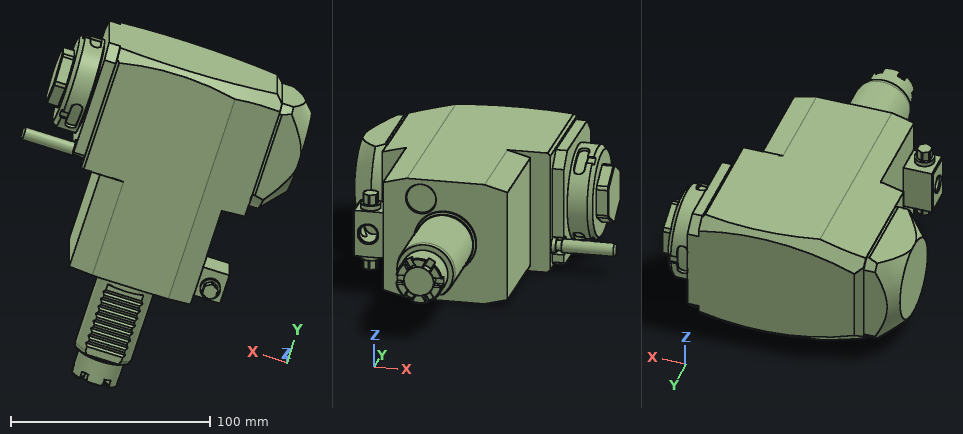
import cadquery as cq
import math

clearance = 1.7

half_height = 32.0
taper = math.tan(math.radians(15))
taper_start = 20.0
housing_left = -44.2
housing_right = 42.3
head_front = 51.0
back = 115.0
corner_chamfer = 3.7
end_chamfer = 1.4
arch_radius = 139.2
arch_center_x = 10.5
arch_rise = 29.2
spindle_y = 84.9

cap_left = -61.6
cap_cone_end = -50.3
cap_face_radius = 21.0
cap_radius = 33.4
cap_groove_width = 1.4
cap_groove_depth = 0.3

plate_right = 48.2
plate_half_height = 29.5
plate_front = 55.5
plate_chamfer = 7.5
plate_pin_chamfer = 1.7
pin_y = 56.4
pin_z = -19.0
pin_radius = 3.5
pin_base_radius = 4.2
pin_neck_radius = 2.6
pin_base_end = 44.4
pin_neck_end = 47.3
pin_end = 75.3
pin_chamfer = 1.2
pin_notch_radius = 4.7
nut_radius = 24.5
nut_relief = 0.5
nut_right = 61.2
nut_chamfer = 2.3
slot_count = 3
slot_center_x = 53.0
slot_width = 5.5
slot_depth = 1.5
slot_first_angle = 28.0
slot_span = 42.0
notch_width = 4.4
notch_depth = 1.0
hex_right = 67.5
hex_flats = 27.5
hex_edge_chamfer = 1.2
hex_end_chamfer = 0.5

flange_radius = 16.0
flange_end = 1.0
undercut_end = 2.3
undercut_radius = 14.6
shank_radius = 15.0
shank_end = 44.9
shank_chamfer_length = 2.1
shank_chamfer_depth = 0.5
flat_start = 7.0
flat_height = 11.7
tooth_count = 8
tooth_pitch = 4.0
tooth_first = 11.5
tooth_width = 2.8
tooth_depth = 0.9
neck_radius = 9.2
neck_end = 46.1
collet_radius = 12.0
collet_end = 58.6
core_end = 59.0
collet_core_radius = 7.7
key_count = 6
key_width = 3.8
key_depth = 4.0
key_flare = 0.5
key_flare_length = 1.4
collet_chamfer = 0.5

plug_x = -12.5
plug_z = 21.5
plug_radius = 7.8
plug_recess = 0.9
plug_draft = 20.0

block_left = -47.7
block_front = 0.9
block_back = 16.4
block_half_height = 12.2
block_chamfer = 0.5
port_x = -40.0
side_port_y = 8.5
side_port_radius = 4.0
side_port_depth = 13.2
front_port_radius = 4.7
front_port_depth = 12.7
port_mouth_chamfer = 0.7
link_radius = 1.7
fitting_y = 7.1
collar_radius = 5.0
collar_height = 2.5
screw_flats = 7.1
screw_height = 5.4
screw_edge_chamfer = 0.5


def taper_height(x):
    """Half height of the tapered sections at a distance x from the shank axis."""
    return half_height - taper * max(0, abs(x) - taper_start)


def prism_y(points, y_start, y_end):
    """Extrude an XZ outline from y_start to y_end."""
    return cq.Workplane("XZ", origin=(0, y_start, 0)).polyline(points).close().extrude(y_start - y_end)


def mirrored_outline(upper):
    """Close an upper XZ outline with its mirror image below Z = 0."""
    return upper + [(x, -z) for x, z in reversed(upper)]


def cylinder_x(radius, x_start, x_end, y, z):
    """Cylinder along X."""
    return cq.Workplane("YZ", origin=(x_start, y, z)).circle(radius).extrude(x_end - x_start)


def turned_x(points, y, z=0):
    """Revolve a profile of (x, radius) points about an axis along X."""
    profile = cq.Workplane("XY", origin=(0, y, z)).polyline(points).close()
    return profile.revolve(360, (0, 0, 0), (1, 0, 0))


def turned_y(points, x=0, z=0):
    """Revolve a profile of (radius, y) points about an axis along Y."""
    profile = cq.Workplane("XY", origin=(x, 0, z)).polyline(points).close()
    return profile.revolve(360, (0, 0, 0), (0, 1, 0))


def make_head():
    upper = [
        (housing_left, taper_height(housing_left)),
        (-taper_start, half_height),
        (housing_right - end_chamfer, half_height),
        (housing_right, half_height - end_chamfer),
    ]
    head = prism_y(mirrored_outline(upper), head_front, back)
    return head.edges("<X and >Y").chamfer(corner_chamfer)


def make_cap():
    """Conical left end cap, trimmed by the housing tapers and a flat at the rear."""
    cap = turned_x(
        [
            (cap_left, 0),
            (cap_left, cap_face_radius),
            (cap_cone_end, cap_radius),
            (housing_left, cap_radius),
            (housing_left, 0),
        ],
        spindle_y,
    )
    groove_start = housing_left - cap_groove_width
    groove_height = taper_height(housing_left) - cap_groove_depth
    upper = [
        (cap_left, taper_height(cap_left)),
        (groove_start, taper_height(groove_start)),
        (groove_start, groove_height),
        (housing_left, groove_height),
    ]
    envelope = prism_y(mirrored_outline(upper), head_front, back - corner_chamfer)
    return cap.intersect(envelope)


def make_arch_cone(side):
    """45 degree cone that bevels the rear edge on the top (1) or bottom (-1)."""
    length = back - head_front + clearance
    profile = [
        (0, back),
        (arch_radius, back),
        (arch_radius + length, back - length),
        (0, back - length),
    ]
    return turned_y(profile, arch_center_x, side * (arch_rise - arch_radius))


def make_stem():
    upper = [
        (-half_height, taper_height(half_height)),
        (-taper_start, half_height),
        (taper_start, half_height),
        (half_height, taper_height(half_height)),
    ]
    stem = prism_y(mirrored_outline(upper), 0, head_front)
    floor_radius = plug_radius - plug_recess * math.tan(math.radians(plug_draft))
    profile = [(0, 0), (plug_radius, 0), (floor_radius, plug_recess), (0, plug_recess)]
    recess = turned_y(profile, plug_x, plug_z)
    return stem.cut(recess)


def make_plate():
    depth = back - plate_front
    plate = cq.Workplane("XY").box(
        plate_right - housing_right, depth, 2 * plate_half_height, centered=(False, False, True)
    ).translate((housing_right, plate_front, 0))
    plate = plate.edges("(>Y and >Z) or (>Y and <Z) or (<Y and >Z)").chamfer(plate_chamfer)
    plate = plate.edges("<Y and <Z").chamfer(plate_pin_chamfer)
    return plate.cut(cylinder_x(pin_notch_radius, housing_right, plate_right, pin_y, pin_z))


def make_pin():
    profile = [
        (housing_right, 0),
        (housing_right, pin_base_radius),
        (pin_base_end, pin_radius),
        (pin_base_end, pin_neck_radius),
        (pin_neck_end, pin_neck_radius),
        (pin_neck_end, pin_radius),
        (pin_end - pin_chamfer, pin_radius),
        (pin_end, pin_radius - pin_chamfer),
        (pin_end, 0),
    ]
    return turned_x(profile, pin_y, pin_z)


def make_nut_slot(angle):
    """Round-ended slot around the clamping nut with a notch leading to the nut's face."""
    slot_left = slot_center_x - slot_width / 2
    slot_right = slot_center_x + slot_width / 2
    outer_radius = nut_radius + clearance
    floor = cylinder_x(nut_radius - slot_depth, slot_left - clearance, slot_right + clearance, 0, 0)
    band = cylinder_x(outer_radius, slot_left, slot_right, 0, 0).cut(floor)
    end_angle = slot_span / 2 - math.degrees(slot_width / 2 / nut_radius)
    reach = 2 * nut_radius
    edge = reach * math.tan(math.radians(end_angle))
    wedge = (
        cq.Workplane("YZ", origin=(slot_left, 0, 0))
        .polyline([(0, 0), (edge, reach), (-edge, reach)])
        .close()
        .extrude(slot_width)
    )
    slot = band.intersect(wedge)
    for side in (-1, 1):
        round_end = (
            cq.Workplane("XY", origin=(slot_center_x, 0, 0))
            .circle(slot_width / 2)
            .extrude(outer_radius)
            .cut(floor)
        )
        slot = slot.union(round_end.rotate((0, 0, 0), (1, 0, 0), side * end_angle))
    notch = cq.Workplane("XY").box(
        nut_right - slot_center_x, notch_width, 2 * notch_depth, centered=(False, True, True)
    ).translate((slot_center_x, 0, nut_radius))
    return slot.union(notch).rotate((0, 0, 0), (1, 0, 0), angle).translate((0, spindle_y, 0))


def make_clamping_nut():
    relief_end = plate_right + nut_relief
    nut = turned_x(
        [
            (plate_right, 0),
            (plate_right, nut_radius - nut_chamfer),
            (relief_end, nut_radius - nut_chamfer),
            (relief_end, nut_radius),
            (nut_right - nut_chamfer, nut_radius),
            (nut_right, nut_radius - nut_chamfer),
            (nut_right, 0),
        ],
        spindle_y,
    )
    for index in range(slot_count):
        nut = nut.cut(make_nut_slot(slot_first_angle + index * 360 / slot_count))
    return nut


def make_hexagon():
    """Spindle hexagon with corners up and down and flats at front and rear."""
    corner_diameter = hex_flats / math.cos(math.pi / 6)
    hexagon = (
        cq.Workplane("YZ", origin=(nut_right, spindle_y, 0))
        .transformed(rotate=(0, 0, 90))
        .polygon(6, corner_diameter)
        .extrude(hex_right - nut_right)
    )
    hexagon = hexagon.edges("|X").chamfer(hex_edge_chamfer)
    return hexagon.faces(">X").chamfer(hex_end_chamfer)


def make_shank():
    shank = turned_y(
        [
            (0, 0),
            (flange_radius, 0),
            (flange_radius, -flange_end),
            (undercut_radius, -flange_end),
            (undercut_radius, -undercut_end),
            (shank_radius, -undercut_end),
            (shank_radius, shank_chamfer_length - shank_end),
            (shank_radius - shank_chamfer_depth, -shank_end),
            (neck_radius, -shank_end),
            (neck_radius, -neck_end),
            (0, -neck_end),
        ]
    )
    flat = (
        cq.Workplane("XY")
        .box(2 * shank_radius, shank_end - flat_start, shank_radius, centered=(True, False, False))
        .translate((0, -shank_end, -flat_height - shank_radius))
    )
    shank = shank.cut(flat)
    for index in range(tooth_count):
        y = -(tooth_first + index * tooth_pitch)
        groove = (
            cq.Workplane("YZ", origin=(-shank_radius, 0, 0))
            .polyline(
                [
                    (y - tooth_width / 2, -flat_height),
                    (y, tooth_depth - flat_height),
                    (y + tooth_width / 2, -flat_height),
                ]
            )
            .close()
            .extrude(2 * shank_radius)
        )
        shank = shank.cut(groove)
    return shank


def make_collet_nut():
    """Collet nut with radial key slots around a solid core in its end face."""
    nut = (
        cq.Workplane("XZ", origin=(0, -neck_end, 0))
        .circle(collet_radius)
        .extrude(collet_end - neck_end)
        .faces("<Y")
        .chamfer(collet_chamfer)
    )
    half = key_width / 2
    floor_y = key_depth - collet_end
    key = (
        cq.Workplane("YZ")
        .polyline(
            [
                (floor_y, -half),
                (floor_y, half),
                (key_flare_length - collet_end, half),
                (-collet_end, half + key_flare),
                (-collet_end, -half - key_flare),
                (key_flare_length - collet_end, -half),
            ]
        )
        .close()
        .extrude(2 * collet_radius)
    )
    core_length = core_end - neck_end
    core = cq.Workplane("XZ", origin=(0, -neck_end, 0)).circle(collet_core_radius).extrude(core_length)
    key = key.cut(core)
    for index in range(key_count):
        nut = nut.cut(key.rotate((0, 0, 0), (0, 1, 0), index * 360 / key_count))
    return nut.union(core)


def make_fitting():
    """Collar and screw head standing on top of the coolant block."""
    collar = cq.Workplane("XY").circle(collar_radius).extrude(collar_height)
    screw = (
        cq.Workplane("XY")
        .transformed(rotate=(0, 0, 90))
        .polygon(6, screw_flats / math.cos(math.pi / 6))
        .extrude(collar_height + screw_height)
        .edges("|Z")
        .chamfer(screw_edge_chamfer)
    )
    return collar.union(screw).translate((port_x, fitting_y, block_half_height))


def port_profile(radius, depth):
    """Half section of a blind bore with a chamfered mouth, as (depth, radius) points."""
    return [
        (0, 0),
        (0, radius + port_mouth_chamfer),
        (port_mouth_chamfer, radius),
        (depth, radius),
        (depth, 0),
    ]


def make_coolant_block():
    block = cq.Workplane("XY").box(
        -half_height - block_left, block_back - block_front, 2 * block_half_height,
        centered=(False, False, True),
    ).translate((block_left, block_front, 0))
    block = block.faces("<X").chamfer(block_chamfer)
    side_port = turned_x(port_profile(side_port_radius, side_port_depth), side_port_y)
    block = block.cut(side_port.translate((block_left, 0, 0)))
    block = block.cut(cylinder_x(link_radius, block_left, -half_height, side_port_y, 0))
    front_profile = [(radius, depth) for depth, radius in port_profile(front_port_radius, front_port_depth)]
    block = block.cut(turned_y(front_profile, port_x).translate((0, block_front, 0)))
    fitting = make_fitting()
    return block.union(fitting).union(fitting.mirror("XY"))


housing = make_head()
for side in (1, -1):
    housing = housing.intersect(make_arch_cone(side))

result = housing
for piece in (
    make_cap(),
    make_stem(),
    make_plate(),
    make_pin(),
    make_clamping_nut(),
    make_hexagon(),
    make_shank(),
    make_collet_nut(),
    make_coolant_block(),
):
    result = result.union(piece)